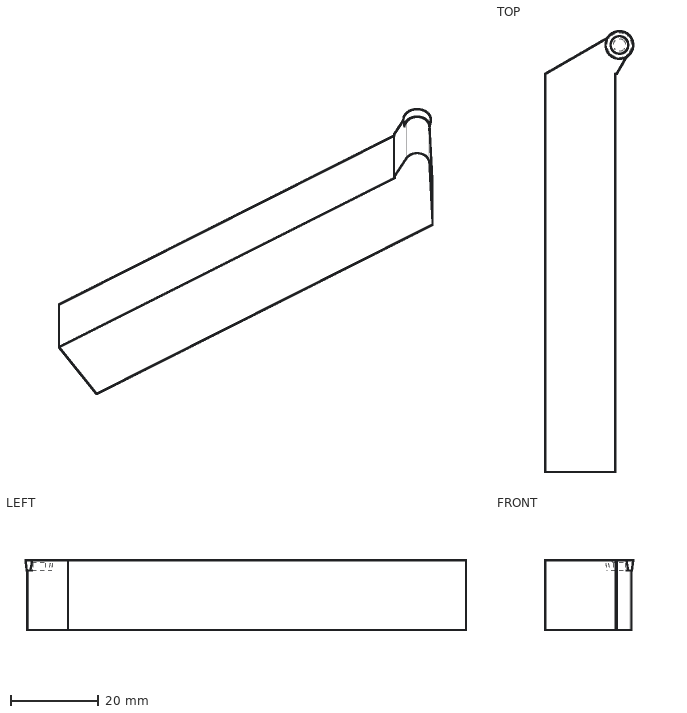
import cadquery as cq
import math

shank_side = 16.0
total_length = 100.8
total_width = 20.2

insert_diameter = 6.4
insert_thickness = 2.4
relief_angle = 7.0
screw_head_diameter = 4.0
screw_shank_diameter = 2.8
screw_head_height = 0.6

nose_diameter = 5.5
left_flank_angle = 30.0
right_flank_angle = 60.0

insert_radius = insert_diameter / 2
nose_radius = nose_diameter / 2
insert_base_radius = insert_radius - insert_thickness * math.tan(math.radians(relief_angle))
insert_x = total_width - insert_radius
insert_y = total_length - insert_radius
seat_z = shank_side - insert_thickness


def nose_point(angle):
    """Point of the nose arc at an angle measured from +X, in degrees."""
    turn = math.radians(angle)
    return insert_x + nose_radius * math.cos(turn), insert_y + nose_radius * math.sin(turn)


def make_insert_blank():
    """Solid tapered disc, wide at the top."""
    profile = [
        (0, seat_z),
        (insert_base_radius, seat_z),
        (insert_radius, shank_side),
        (0, shank_side),
    ]
    disc = cq.Workplane("XZ").polyline(profile).close().revolve(360, (0, 0, 0), (0, 1, 0))
    return disc.translate((insert_x, insert_y, 0))


def make_screw():
    """Countersunk screw that fills the insert's hole, flush with its top."""
    profile = [
        (0, seat_z),
        (screw_shank_diameter / 2, seat_z),
        (screw_shank_diameter / 2, shank_side - screw_head_height),
        (screw_head_diameter / 2, shank_side),
        (0, shank_side),
    ]
    screw = cq.Workplane("XZ").polyline(profile).close().revolve(360, (0, 0, 0), (0, 1, 0))
    return screw.translate((insert_x, insert_y, 0))


def make_holder():
    """Shank and angled head, with the insert's seat and the screw standing in it."""
    left_tangent = nose_point(90 + left_flank_angle)
    right_tangent = nose_point(right_flank_angle - 90)
    nose_tip = nose_point((left_flank_angle + right_flank_angle) / 2)
    shoulder_y = left_tangent[1] - left_tangent[0] * math.tan(math.radians(left_flank_angle))
    neck_rise = right_tangent[1] - shoulder_y
    neck_x = right_tangent[0] - neck_rise / math.tan(math.radians(right_flank_angle))
    body = (
        cq.Workplane("XY")
        .lineTo(shank_side, 0)
        .lineTo(shank_side, shoulder_y)
        .lineTo(neck_x, shoulder_y)
        .lineTo(*right_tangent)
        .threePointArc(nose_tip, left_tangent)
        .lineTo(0, shoulder_y)
        .close()
        .extrude(shank_side)
    )
    return body.cut(make_insert_blank()).union(make_screw())


holder = make_holder()
insert = make_insert_blank().cut(make_screw())

result = cq.Compound.makeCompound([holder.val(), insert.val()])